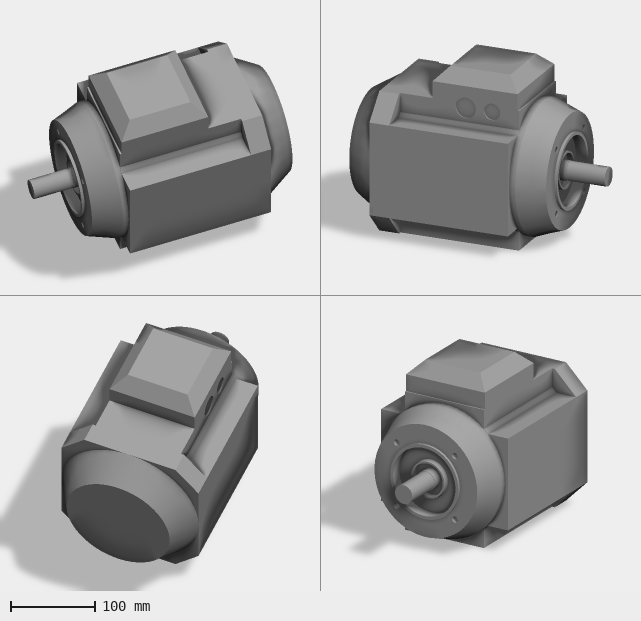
import cadquery as cq


shaft_end = -50.0
spigot_face = -3.5
flange_cone_end = 34.5
body_front = 42.0
body_rear = 221.0
tail_end = 256.5
corner_relief_end = 195.5

body_width = 177.0
body_half = body_width / 2
body_chamfer = 29.7
rib_width = 110.0
rib_half = rib_width / 2
relief_strip_leg = 5.5
ledge_height = body_half - body_chamfer

flange_diameter = 168.5
flange_face_diameter = 143.5
tail_diameter = 133.0

spigot_diameter = 95.0
pocket_diameter = 87.0
pocket_floor = 11.0
collar_front = 4.0
collar_base_diameter = 48.5
collar_tip_diameter = 46.5
collar_bore_diameter = 42.0
collar_bore_floor = 12.0

shaft_diameter = 24.0
shaft_shoulder_diameter = 25.0

bolt_circle_diameter = 115.0
bolt_hole_diameter = 8.0
bolt_hole_depth = 20.0
bolt_count = 4
first_bolt_angle = 45.0
full_turn = 360.0

box_length = 110.0
box_front = 44.0
box_center_y = box_front + box_length / 2
box_edge_height = 109.8
box_bevel = 16.5

cable_entries = [(111.0, 26.0), (77.0, 21.0)]
cable_entry_height = 82.3
cable_entry_depth = 2.0


def make_body():
    """Square bar with chamfered long edges."""
    body_length = body_rear - body_front
    bar = cq.Workplane("XY").box(body_width, body_length, body_width)
    bar = bar.edges("|Y").chamfer(body_chamfer)
    return bar.translate((0, body_front + body_length / 2, 0))


def make_corner_relief(side_x, side_z):
    """Cutter leaving a ledge, a sloped strip and a wall along one long edge."""
    wall = side_x * rib_half
    strip = side_x * (rib_half + relief_strip_leg)
    outer = side_x * body_half
    ledge = side_z * ledge_height
    strip_top = side_z * (ledge_height + relief_strip_leg)
    top = side_z * body_half
    profile = [(outer, ledge), (strip, ledge), (wall, strip_top), (wall, top), (outer, top)]
    return (
        cq.Workplane("XZ", origin=(0, body_front, 0))
        .polyline(profile)
        .close()
        .extrude(body_front - corner_relief_end)
    )


def revolve_about_shaft(profile):
    """Solid of revolution about Y from (diameter, Y) points, closed along the axis."""
    points = [(0, profile[0][1])]
    points += [(diameter / 2, y) for diameter, y in profile]
    points += [(0, profile[-1][1])]
    return cq.Workplane("XY").polyline(points).close().revolve(full_turn, (0, 0, 0), (0, 1, 0))


def make_flange():
    """Front bell with its spigot, hollowed by a pocket that holds the bearing collar."""
    bell = revolve_about_shaft([
        (spigot_diameter, spigot_face),
        (spigot_diameter, 0),
        (flange_face_diameter, 0),
        (flange_diameter, flange_cone_end),
        (flange_diameter, body_front),
    ])
    pocket = revolve_about_shaft([(pocket_diameter, spigot_face), (pocket_diameter, pocket_floor)])
    collar = revolve_about_shaft([
        (collar_tip_diameter, collar_front),
        (collar_base_diameter, pocket_floor),
    ])
    bore = revolve_about_shaft([
        (collar_bore_diameter, collar_front),
        (collar_bore_diameter, collar_bore_floor),
    ])
    return bell.cut(pocket).union(collar).cut(bore)


def make_bolt_holes():
    """Blind holes in the flange face, evenly spaced and set on the diagonals."""
    holes = cq.Workplane("XZ")
    holes = holes.polarArray(bolt_circle_diameter / 2, first_bolt_angle, full_turn, bolt_count)
    return holes.circle(bolt_hole_diameter / 2).extrude(-bolt_hole_depth)


def make_tail():
    """Rear bell, tapering away from the body."""
    return revolve_about_shaft([(body_width, body_rear), (tail_diameter, tail_end)])


def make_shaft():
    """Stepped shaft, running back to the floor of the collar bore."""
    return revolve_about_shaft([
        (shaft_diameter, shaft_end),
        (shaft_diameter, 0),
        (shaft_shoulder_diameter, 0),
        (shaft_shoulder_diameter, collar_bore_floor),
    ])


def make_terminal_box():
    """Box on top of the body with all four top edges bevelled."""
    height = box_edge_height + box_bevel - body_half
    return (
        cq.Workplane("XY", origin=(0, box_center_y, body_half))
        .rect(rib_width, box_length)
        .extrude(height)
        .faces(">Z")
        .chamfer(box_bevel)
    )


def make_cable_entry(y, diameter):
    """Shallow round recess in the -X wall below the terminal box."""
    return (
        cq.Workplane("YZ", origin=(-rib_half, y, cable_entry_height))
        .circle(diameter / 2)
        .extrude(cable_entry_depth)
    )


motor = make_body()
for side_x in (-1, 1):
    for side_z in (-1, 1):
        motor = motor.cut(make_corner_relief(side_x, side_z))

motor = motor.union(make_terminal_box())
for entry_y, entry_diameter in cable_entries:
    motor = motor.cut(make_cable_entry(entry_y, entry_diameter))

motor = motor.union(make_tail())
motor = motor.union(make_flange().cut(make_bolt_holes()))
motor = motor.union(make_shaft())

result = motor